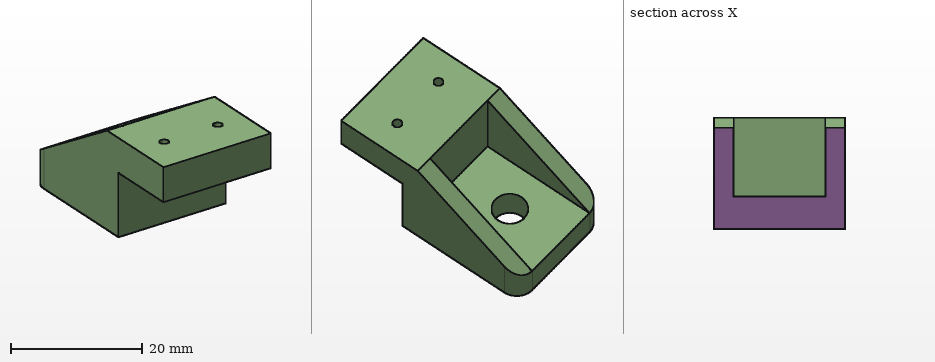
import cadquery as cq

length = 35.0
width = 20.0
height = 17.0

foot_length = 23.0
arm_thickness = 6.0
floor_thickness = 5.0
slope_length = 20.0

wall_thickness = 3.0
corner_radius = wall_thickness

mount_hole_diameter = 5.6
mount_hole_x = slope_length / 2
arm_hole_diameter = 1.5
arm_hole_x = 28.0
arm_hole_spacing = width / 2


def make_body():
    """Foot with a sloped front and an overhanging arm, centred on Y = 0."""
    profile = [
        (0, 0),
        (foot_length, 0),
        (foot_length, height - arm_thickness),
        (length, height - arm_thickness),
        (length, height),
        (slope_length, height),
        (0, floor_thickness),
    ]
    body = cq.Workplane("XZ").polyline(profile).close().extrude(width / 2, both=True)
    return body.edges("|Z and <X").fillet(corner_radius)


def make_pocket():
    """Space between the side walls, above the floor and open to the front."""
    return cq.Workplane("XY").box(
        slope_length,
        width - 2 * wall_thickness,
        height - floor_thickness,
        centered=(False, True, False),
    ).translate((0, 0, floor_thickness))


def make_hole(x, y, diameter):
    """Vertical cylinder through the full height."""
    return cq.Workplane("XY").center(x, y).circle(diameter / 2).extrude(height)


result = make_body().cut(make_pocket())
result = result.cut(make_hole(mount_hole_x, 0, mount_hole_diameter))
for side in (-1, 1):
    result = result.cut(make_hole(arm_hole_x, side * arm_hole_spacing / 2, arm_hole_diameter))